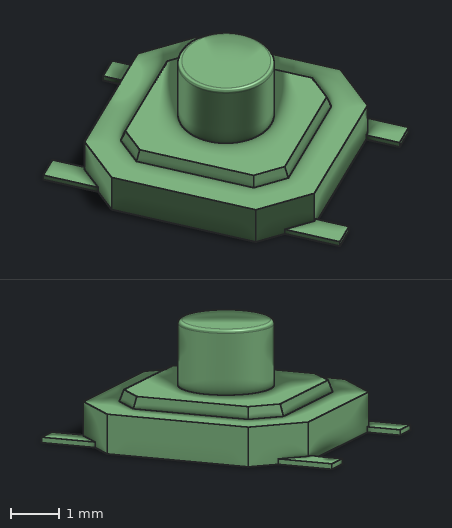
import cadquery as cq

body_side = 5.1
body_height = 0.85
body_corner = 0.95

cover_side = 3.72
cover_corner = 0.56
cover_top_z = 1.1
cover_taper = 20

button_diameter = 2.01
button_top_z = 2.5
button_edge_radius = 0.08

lead_span = 6.58
lead_width = 0.56
lead_thickness = 0.12
lead_offset_y = 1.8
lead_length = 1.3


def cut_corner_square(side, corner, base_z):
    """Outline of a square with its four corners cut at 45 degrees."""
    half = side / 2
    flat = half - corner
    points = [
        (half, -flat),
        (half, flat),
        (flat, half),
        (-flat, half),
        (-half, flat),
        (-half, -flat),
        (-flat, -half),
        (flat, -half),
    ]
    return cq.Workplane("XY").workplane(offset=base_z).polyline(points).close()


def make_housing():
    """Straight-sided block that carries everything else."""
    return cut_corner_square(body_side, body_corner, 0).extrude(body_height)


def make_cover():
    """Plate whose sides lean inwards towards the top."""
    outline = cut_corner_square(cover_side, cover_corner, body_height)
    return outline.extrude(cover_top_z - body_height, taper=cover_taper)


def make_button():
    """Cylindrical plunger with a rounded top edge."""
    base = cq.Workplane("XY").workplane(offset=cover_top_z)
    button = base.circle(button_diameter / 2).extrude(button_top_z - cover_top_z)
    return button.faces(">Z").edges().fillet(button_edge_radius)


def make_leads():
    """One flat lead near each corner, running from inside the housing outwards."""
    center_spacing_x = lead_span - lead_length
    return (
        cq.Workplane("XY")
        .rect(center_spacing_x, 2 * lead_offset_y, forConstruction=True)
        .vertices()
        .rect(lead_length, lead_width)
        .extrude(lead_thickness)
    )


result = make_housing().union(make_cover()).union(make_button()).union(make_leads())